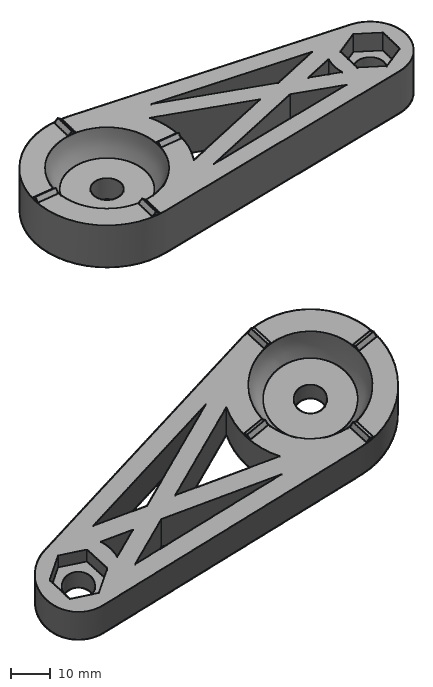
import cadquery as cq
import math

large_radius = 22.0
length = 113
small_radius = 11.0
center_distance = length - large_radius - small_radius
total_height = 15.0
ridge_height = 1.0
body_height = total_height - ridge_height

bar_width = 5.0
side_wall = 5.1
bar_angle = 20
bar_crossing_y = 53.9
bar_length = 2 * center_distance

hole_diameter = 8.4
nut_corner_diameter = 14.9
nut_depth = 6.0
socket_rim_radius = 15.6
socket_ball_radius = 16.0
socket_depth = 7.0

ridge_width = 2.4
ridge_end_radius = 21.8
ridge_angles = (0, 90, 180, 270)

side_angle = math.asin((large_radius - small_radius) / center_distance)


def side_point(radius, center_y):
    """Point where the right-hand side touches a circle centered on the Y axis."""
    return (radius * math.cos(side_angle), center_y + radius * math.sin(side_angle))


def mirrored(point):
    return (-point[0], point[1])


def cylinder(radius, height, center_y=0):
    return cq.Workplane("XY").center(0, center_y).circle(radius).extrude(height)


def make_body():
    large_side = side_point(large_radius, 0)
    small_side = side_point(small_radius, center_distance)
    return (
        cq.Workplane("XY")
        .moveTo(*large_side)
        .lineTo(*small_side)
        .threePointArc((0, center_distance + small_radius), mirrored(small_side))
        .lineTo(*mirrored(large_side))
        .threePointArc((0, -large_radius), large_side)
        .close()
        .extrude(body_height)
    )


def make_windows():
    """Space between the side walls and the round ends, less the crossed bars."""
    large_inner = side_point(large_radius - side_wall, 0)
    small_inner = side_point(small_radius - side_wall, center_distance)
    windows = (
        cq.Workplane("XY")
        .polyline([large_inner, small_inner, mirrored(small_inner), mirrored(large_inner)])
        .close()
        .extrude(body_height)
    )
    windows = windows.cut(cylinder(large_radius, body_height))
    windows = windows.cut(cylinder(small_radius, body_height, center_distance))
    for angle in (bar_angle, -bar_angle):
        bar = (
            cq.Workplane("XY")
            .rect(bar_width, bar_length)
            .extrude(body_height)
            .rotate((0, 0, 0), (0, 0, 1), angle)
            .translate((0, bar_crossing_y, 0))
        )
        windows = windows.cut(bar)
    return windows


def make_socket():
    """Spherical recess with a flat floor."""
    ball_rise = math.sqrt(socket_ball_radius**2 - socket_rim_radius**2)
    ball = cq.Workplane("XY").sphere(socket_ball_radius).translate((0, 0, body_height + ball_rise))
    above_floor = cylinder(large_radius, socket_depth).translate((0, 0, body_height - socket_depth))
    return ball.intersect(above_floor)


def make_nut_pocket():
    return (
        cq.Workplane("XY", origin=(0, center_distance, body_height))
        .polygon(6, nut_corner_diameter)
        .extrude(-nut_depth)
    )


def make_ridge(angle):
    """Radial ridge from the socket rim to just inside the outer edge of the large end."""
    ridge = (
        cq.Workplane("YZ", origin=(socket_rim_radius, 0, body_height))
        .polyline([(-ridge_width / 2, 0), (ridge_width / 2, 0), (0, ridge_height)])
        .close()
        .extrude(ridge_end_radius - socket_rim_radius)
    )
    return ridge.rotate((0, 0, 0), (0, 0, 1), angle)


result = make_body().cut(make_windows()).cut(make_socket()).cut(make_nut_pocket())
for hole_y in (0, center_distance):
    result = result.cut(cylinder(hole_diameter / 2, body_height, hole_y))
for ridge_angle in ridge_angles:
    result = result.union(make_ridge(ridge_angle))